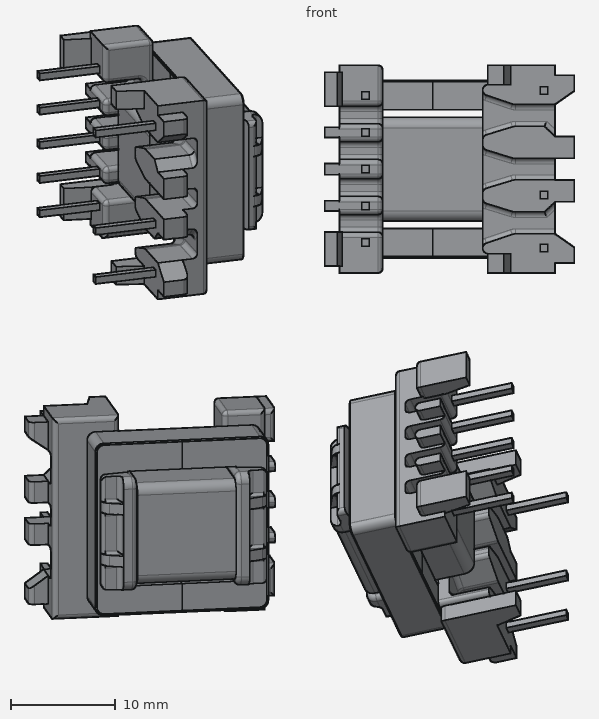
import cadquery as cq
round_radius = 0.5

core_half_x = 8.21
core_half_y = 2.33
core_half_z = 8.3
core_corner_radius = 0.67
window_half_x = 5.25
window_half_z = 5.65
center_leg_half_z = 2.33

tape_thickness = 0.17
tape_width = 4.48

winding_half_x = 4.76
winding_half_z = 4.95
winding_back_y = 4.98
winding_front_y = -5.98
winding_corner_radius = 1.0

tube_wall = 0.48
tube_half_y = core_half_y + tube_wall
tube_half_z = center_leg_half_z + tube_wall
flange_half_z = 5.57
flange_top_y = 4.9
flange_inner_x = winding_half_x
flange_corner_radius = 1.0

hook_tip_x = 8.0
hook_root_x = 6.1
hook_top_y = 3.75
hook_tip_low_y = 2.9
hook_edge_radius = 0.33
rib_low_z = 2.02
rib_high_z = 3.1
rib_tip_y = 4.1
rib_tip_radius = 1.0
rib_foot_radius = 0.29

rail_half_z = 9.9
rail_top_y = -2.38
rail_floor_y = -3.48
rail_bottom_y = -7.43
foot_bottom_y = -10.0
tab_top_y = -4.93

left_rail_x = -8.9
left_tab_x = -10.3
wire_slot_width = 1.67
wire_slot_centers = (1.76, 5.17)
inner_edge_radius = 0.48
tab_radius = 0.48
center_tab_width = 1.1
side_tab_width = 1.0
left_foot_low_z = 5.98
left_foot_high_z = 9.25
left_foot_root_x = -8.65
left_foot_tip_x = -9.12

right_rail_inner_x = 5.25
right_rail_x = 11.67
right_tab_x = 13.5
nose_top_z = 8.05
bend_radius = 1.0
outer_guide_low_z = 6.17
outer_nose_low_z = 7.17
guide_bend_x = 7.71
inner_guide_low_z = 1.02
inner_guide_high_z = 4.07
inner_nose_low_z = 1.93
inner_nose_high_z = 3.17
guide_chamfer_x = 10.65
inner_tab_high_z = 3.12
outer_tab_high_z = 8.95
outer_tab_edge_z = 7.45
right_foot_root_x = 7.45
right_foot_tip_x = 6.79

pin_size = 0.71
pin_tip_y = -13.43
left_pin_x = -6.4
left_pin_pitch = 3.5
right_pin_x = 10.6
right_pin_z = (-7.5, -2.48, 7.5)


def block(x0, x1, y0, y1, z0, z1):
    """Box between two opposite corners."""
    return cq.Workplane("XY").box(x1 - x0, y1 - y0, z1 - z0, centered=False).translate((x0, y0, z0))


def prism_along_z(points, z0, z1):
    """Closed outline of (x, y) points, extruded from z0 to z1."""
    return cq.Workplane("XY").workplane(offset=z0).polyline(points).close().extrude(z1 - z0)


def prism_along_y(points, y0, y1):
    """Closed outline of (x, z) points, extruded from y0 to y1."""
    outline = cq.Workplane("XZ", origin=(0, y0, 0)).polyline(points).close()
    return outline.extrude(y0 - y1)


def edges_at(x=None, y=None, z=None):
    """Selector for the edges that lie wholly at the given coordinates."""
    reach = 0.05
    far = 238.1
    low = []
    high = []
    for value in (x, y, z):
        low.append(-far if value is None else value - reach)
        high.append(far if value is None else value + reach)
    return cq.selectors.BoxSelector(tuple(low), tuple(high), boundingbox=True)


def both_z(shape):
    """The shape joined with its mirror image about Z = 0."""
    return shape.union(shape.mirror("XY"))


def core_half(side):
    """E-shaped half on the side -1 or +1 of X = 0."""
    core = block(-core_half_x, core_half_x, -core_half_y, core_half_y, -core_half_z, core_half_z)
    core = core.edges("|Y").fillet(core_corner_radius)
    for z0, z1 in ((center_leg_half_z, window_half_z), (-window_half_z, -center_leg_half_z)):
        core = core.cut(block(-window_half_x, window_half_x, -core_half_y, core_half_y, z0, z1))
    x0, x1 = sorted((0, side * core_half_x))
    return core.intersect(block(x0, x1, -core_half_y, core_half_y, -core_half_z, core_half_z))


def tape_ring():
    def slab(grow):
        half_x = core_half_x + grow
        half_z = core_half_z + grow
        body = block(-half_x, half_x, -tape_width / 2, tape_width / 2, -half_z, half_z)
        return body.edges("|Y").fillet(core_corner_radius + grow)

    return slab(tape_thickness).cut(slab(0))


def winding_coil():
    coil = block(-winding_half_x, winding_half_x, winding_front_y, winding_back_y,
                 -winding_half_z, winding_half_z)
    coil = coil.edges("|X").fillet(winding_corner_radius)
    return coil.cut(block(-winding_half_x, winding_half_x, -tube_half_y, tube_half_y,
                          -tube_half_z, tube_half_z))


def hook_rib():
    """Wedge from the flange top down to the hook tip, with a rounded end."""
    rib = prism_along_z([(flange_inner_x + round_radius, flange_top_y), (hook_root_x, flange_top_y),
                         (hook_tip_x, rib_tip_y), (hook_tip_x, hook_tip_low_y),
                         (flange_inner_x + round_radius, hook_tip_low_y)], rib_low_z, rib_high_z)
    rib = rib.edges(edges_at(x=hook_tip_x, y=rib_tip_y)).fillet(rib_tip_radius)
    return rib.union(rib_foot())


def rib_foot():
    """Concave blend along both sides of a rib, where it meets the hook top."""
    x0 = hook_root_x
    x1 = hook_tip_x - hook_edge_radius
    reach = rib_foot_radius
    z0 = rib_low_z - reach
    z1 = rib_high_z + reach
    foot = block(x0, x1, hook_top_y - hook_edge_radius, hook_top_y + reach, z0, z1)
    for z in (z0, z1):
        groove = cq.Workplane("YZ", origin=(x0, 0, 0)).center(hook_top_y + reach, z)
        foot = foot.cut(groove.circle(reach).extrude(x1 - x0))
    return foot


def hooked_flange():
    """Flange with rounded rim; its hook slopes up and away from the core back."""
    low_y = rail_top_y - round_radius
    profile = [(flange_inner_x, low_y), (flange_inner_x, flange_top_y), (hook_root_x, flange_top_y),
               (hook_root_x, hook_top_y), (hook_tip_x, hook_top_y), (hook_tip_x, hook_tip_low_y),
               (window_half_x, core_half_y), (window_half_x, low_y)]
    flange = prism_along_z(profile, -flange_half_z, flange_half_z)
    flange = flange.edges(edges_at(x=hook_root_x, y=hook_top_y)).fillet(round_radius)
    flange = flange.edges(edges_at(x=hook_tip_x, y=hook_top_y)).fillet(hook_edge_radius)
    rounded = block(0, hook_tip_x, low_y, flange_top_y, -flange_half_z, flange_half_z)
    rounded = rounded.edges("|X and >Y").fillet(flange_corner_radius)
    rounded = rounded.edges("|Y and >X").fillet(round_radius)
    flange = flange.intersect(rounded)
    rim = edges_at(x=flange_inner_x) - edges_at(x=flange_inner_x, y=low_y)
    flange = flange.edges(rim).fillet(round_radius)
    return flange.union(both_z(hook_rib()))


def left_rail():
    rail = block(left_rail_x, -flange_inner_x, rail_bottom_y, rail_top_y, -rail_half_z, rail_half_z)
    for center in wire_slot_centers:
        for z in (center, -center):
            slot = block(left_rail_x, -flange_inner_x, rail_bottom_y, rail_floor_y,
                         z - wire_slot_width / 2, z + wire_slot_width / 2)
            rail = rail.cut(slot)
            for edge_z in (z - wire_slot_width / 2, z + wire_slot_width / 2):
                rail = rail.edges(edges_at(y=rail_floor_y, z=edge_z)).fillet(round_radius)
                rail = rail.edges(edges_at(y=rail_bottom_y, z=edge_z)).fillet(round_radius)
    return rail.edges(edges_at(x=-flange_inner_x) + edges_at(y=rail_top_y)).fillet(inner_edge_radius)


def left_tab(z, width):
    tab = block(left_tab_x, left_rail_x, rail_bottom_y, tab_top_y, z - width / 2, z + width / 2)
    return tab.edges("|X and >Y").fillet(tab_radius)


def left_foot():
    foot = prism_along_z([(left_tab_x, tab_top_y), (left_foot_root_x, tab_top_y),
                          (left_foot_root_x, rail_bottom_y), (left_foot_tip_x, foot_bottom_y),
                          (left_tab_x, foot_bottom_y)], left_foot_low_z, left_foot_high_z)
    return foot.faces(">Y").edges("not >X").fillet(round_radius)


def nose_block(outer_x, bottom_y):
    """Block between the inner sides of the right feet, rounded along its two winding-side corners."""
    body = block(flange_inner_x, outer_x, bottom_y, rail_top_y, -nose_top_z, nose_top_z)
    return body.edges("|Y and <X").fillet(round_radius)


def wire_guides():
    """Tapered guides on the channel floor, blended into it."""
    overhang = 1.2
    high_z = nose_top_z + overhang
    floor = block(flange_inner_x - overhang, right_rail_x, rail_floor_y, rail_top_y - round_radius,
                  -high_z, high_z)
    outer = prism_along_y([(flange_inner_x, high_z), (right_rail_x, high_z),
                           (right_rail_x, outer_guide_low_z), (guide_bend_x, outer_guide_low_z),
                           (flange_inner_x, outer_nose_low_z)], rail_bottom_y, rail_floor_y)
    inner = prism_along_y([(flange_inner_x, inner_nose_high_z), (guide_bend_x, inner_guide_high_z),
                           (guide_chamfer_x, inner_guide_high_z), (right_rail_x, inner_tab_high_z),
                           (right_rail_x, inner_guide_low_z), (guide_bend_x, inner_guide_low_z),
                           (flange_inner_x, inner_nose_low_z)], rail_bottom_y, rail_floor_y)
    guides = floor
    nose_corners = ((outer, (outer_nose_low_z,)), (inner, (inner_nose_low_z, inner_nose_high_z)))
    for guide, corners in nose_corners:
        guide = guide.edges(edges_at(x=guide_bend_x)).fillet(bend_radius)
        for z in corners:
            guide = guide.edges(edges_at(x=flange_inner_x, z=z)).fillet(round_radius)
        guides = guides.union(both_z(guide))
    foot_lines = edges_at(y=rail_floor_y) - edges_at(x=right_rail_x)
    for outer_border in (edges_at(x=flange_inner_x - overhang), edges_at(z=high_z), edges_at(z=-high_z)):
        foot_lines = foot_lines - outer_border
    guides = guides.edges(foot_lines).fillet(round_radius)
    return guides.intersect(nose_block(right_rail_x, rail_bottom_y))


def right_tab(outline):
    tab = prism_along_y(outline, rail_bottom_y, tab_top_y)
    return tab.edges(edges_at(x=right_tab_x, y=tab_top_y)).fillet(round_radius)


def right_rail():
    rail = block(right_rail_inner_x, right_rail_x, rail_floor_y, rail_top_y, -rail_half_z, rail_half_z)
    rail = rail.faces(">Y").edges().fillet(round_radius)
    lip = nose_block(right_rail_inner_x + round_radius, rail_floor_y)
    corner = block(right_rail_inner_x, right_rail_x, rail_bottom_y, rail_floor_y, nose_top_z, rail_half_z)
    foot = prism_along_z([(right_rail_inner_x, rail_bottom_y), (right_foot_root_x, rail_bottom_y),
                          (right_foot_tip_x, foot_bottom_y), (right_rail_inner_x, foot_bottom_y)],
                         nose_top_z, rail_half_z)
    outer_tab = right_tab([(right_rail_x, outer_tab_high_z), (right_tab_x, outer_tab_high_z),
                           (right_tab_x, outer_tab_edge_z), (right_rail_x, outer_guide_low_z)])
    inner_tab = right_tab([(right_rail_x, inner_tab_high_z), (right_tab_x, inner_tab_high_z),
                           (right_tab_x, inner_guide_low_z), (right_rail_x, inner_guide_low_z)])
    rail = rail.union(lip).union(wire_guides())
    for piece in (corner, foot, outer_tab, inner_tab):
        rail = rail.union(both_z(piece))
    return rail


def pin(x, z):
    half = pin_size / 2
    return block(x - half, x + half, pin_tip_y, rail_bottom_y + round_radius, z - half, z + half)


def bobbin_body():
    tube = block(-window_half_x, window_half_x, -tube_half_y, tube_half_y, -tube_half_z, tube_half_z)
    flange = hooked_flange()
    bobbin = tube.union(flange).union(flange.mirror("YZ"))
    bobbin = bobbin.cut(block(-window_half_x, window_half_x, -core_half_y, core_half_y,
                              -center_leg_half_z, center_leg_half_z))
    bobbin = bobbin.union(left_rail()).union(right_rail())
    bobbin = bobbin.union(both_z(left_foot())).union(left_tab(0, center_tab_width))
    bobbin = bobbin.union(both_z(left_tab(left_pin_pitch, side_tab_width)))
    for step in range(-2, 3):
        bobbin = bobbin.union(pin(left_pin_x, step * left_pin_pitch))
    for z in right_pin_z:
        bobbin = bobbin.union(pin(right_pin_x, z))
    return bobbin


bobbin = bobbin_body()
core_left = core_half(-1)
core_right = core_half(1)
tape = tape_ring()
winding = winding_coil()
result = cq.Compound.makeCompound(
    [bobbin.val(), core_left.val(), core_right.val(), tape.val(), winding.val()])